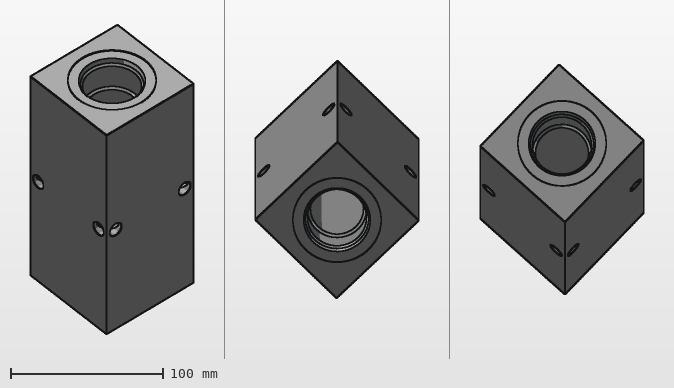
import cadquery as cq

height = 177.8
side = 76.3
edge_chamfer = 0.4

bore_radius = 17.5
spotface_radius = 29.0
spotface_depth = 0.9
mouth_radius = 21.9
seat_radius = 20.8
seat_depth = 4.1
thread_radius = 19.4
thread_start_depth = 5.7
thread_end_depth = 23.6
bore_start_depth = 24.9

cross_hole_diameter = 10.0
cross_hole_offset = 30.0
cross_hole_chamfer = 0.4


def make_block():
    block = cq.Workplane("XY").box(side, side, height, centered=(True, True, False))
    return block.edges().chamfer(edge_chamfer)


def make_top_port():
    """Solid of revolution removed from the top end, from spotface down to the bore."""
    radius_and_depth = [
        (0, 0),
        (spotface_radius, 0),
        (spotface_radius, spotface_depth),
        (mouth_radius, spotface_depth),
        (seat_radius, seat_depth),
        (thread_radius, thread_start_depth),
        (thread_radius, thread_end_depth),
        (bore_radius, bore_start_depth),
        (0, bore_start_depth),
    ]
    profile = [(radius, height - depth) for radius, depth in radius_and_depth]
    return cq.Workplane("XZ").polyline(profile).close().revolve(360, (0, 0), (0, 1))


def make_cross_hole():
    """Hole along Y through the block, on the +X side, widened by a chamfer at both mouths."""
    radius = cross_hole_diameter / 2
    mouth = radius + cross_hole_chamfer
    half = side / 2
    profile = [
        (0, -half),
        (mouth, -half),
        (radius, -half + cross_hole_chamfer),
        (radius, half - cross_hole_chamfer),
        (mouth, half),
        (0, half),
    ]
    hole = cq.Workplane("XY").polyline(profile).close().revolve(360, (0, 0), (0, 1))
    return hole.translate((cross_hole_offset, 0, height / 2))


result = make_block()

bore = cq.Workplane("XY").circle(bore_radius).extrude(height)
result = result.cut(bore)

top_port = make_top_port()
bottom_port = top_port.mirror("XY", (0, 0, height / 2))
result = result.cut(top_port).cut(bottom_port)

cross_hole = make_cross_hole()
for angle in (0, 90, 180, 270):
    result = result.cut(cross_hole.rotate((0, 0, 0), (0, 0, 1), angle))